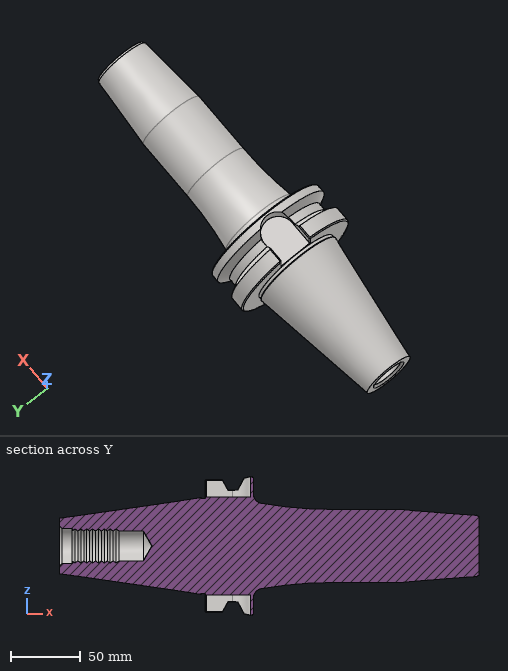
import cadquery as cq
import math

total_length = 301.8
gauge_x = 101.7
flange_start_x = 104.7
flange_end_x = 139.7
neck_start_x = 146.5
cylinder_start_x = 194.7
cylinder_end_x = 244.8

gauge_radius = 35.0
taper_rate = 7 / 24 / 2
taper_small_radius = gauge_radius - taper_rate * gauge_x
relief_radius = 34.5
relief_start_x = gauge_x + 0.5

flange_diameter = 100.0
flange_radius = flange_diameter / 2
flange_chamfer = 1.0
groove_root_radius = 42.3
groove_root_start_x = 121.3
groove_root_end_x = 128.3
groove_wall_angle = 60.0
groove_wall_run = (flange_radius - groove_root_radius) / math.tan(math.radians(groove_wall_angle))

neck_fillet_radius = 6.5
neck_radius = 30.8
cylinder_radius = 26.5
nose_angle = 4.5
nose_chamfer = 1.8
nose_radius = cylinder_radius - (total_length - cylinder_end_x) * math.tan(math.radians(nose_angle))

slot_width = 26.0
slot_floor = 35.3
slot_end_x = 137.3
slot_edge_chamfer = 1.0

mouth_radius = 14.2
bore_radius = 12.5
counterbore_depth = 9.0
thread_minor_radius = 10.5
thread_groove_radius = 12.0
thread_pitch = 4.2
thread_groove_count = 8
bore_depth = 60.5
drill_tip_angle = 120.0


def revolve_about_x(profile):
    """Turn a closed XY profile a full circle about the X axis."""
    return profile.close().revolve(360, (0, 0, 0), (1, 0, 0))


def tangent_arc_middle(start, end):
    """Middle point of an arc from start to end that finishes parallel to X (concave, falling)."""
    run = end[0] - start[0]
    drop = start[1] - end[1]
    radius = (run**2 + drop**2) / (2 * drop)
    half_angle = math.asin(run / radius) / 2
    middle_x = end[0] - radius * math.sin(half_angle)
    middle_y = end[1] + radius * (1 - math.cos(half_angle))
    return middle_x, middle_y


def make_body():
    neck_start = (neck_start_x, neck_radius)
    neck_end = (cylinder_start_x, cylinder_radius)
    fillet_start = (flange_end_x, neck_radius + neck_fillet_radius)
    fillet_middle = tangent_arc_middle(fillet_start, neck_start)
    profile = (
        cq.Workplane("XY")
        .moveTo(0, 0)
        .lineTo(0, taper_small_radius)
        .lineTo(gauge_x, gauge_radius)
        .lineTo(relief_start_x, relief_radius)
        .lineTo(flange_start_x, relief_radius)
        .lineTo(flange_start_x, flange_radius - flange_chamfer)
        .lineTo(flange_start_x + flange_chamfer, flange_radius)
        .lineTo(groove_root_start_x - groove_wall_run, flange_radius)
        .lineTo(groove_root_start_x, groove_root_radius)
        .lineTo(groove_root_end_x, groove_root_radius)
        .lineTo(groove_root_end_x + groove_wall_run, flange_radius)
        .lineTo(flange_end_x - flange_chamfer, flange_radius)
        .lineTo(flange_end_x, flange_radius - flange_chamfer)
        .lineTo(*fillet_start)
        .threePointArc(fillet_middle, neck_start)
        .threePointArc(tangent_arc_middle(neck_start, neck_end), neck_end)
        .lineTo(cylinder_end_x, cylinder_radius)
        .lineTo(total_length - nose_chamfer, nose_radius + nose_chamfer * math.tan(math.radians(nose_angle)))
        .lineTo(total_length, nose_radius - nose_chamfer / 2)
        .lineTo(total_length, 0)
    )
    return revolve_about_x(profile)


def make_drive_slot():
    """Cutter for the +Z slot: open toward the taper, round at the far end, with broken entry edges."""
    half_width = slot_width / 2
    entry_half_width = half_width + slot_edge_chamfer
    round_centre_x = slot_end_x - half_width
    slot = (
        cq.Workplane("XY", origin=(0, 0, slot_floor))
        .moveTo(flange_start_x, -half_width)
        .lineTo(round_centre_x, -half_width)
        .threePointArc((slot_end_x, 0), (round_centre_x, half_width))
        .lineTo(flange_start_x, half_width)
        .close()
        .extrude(flange_radius)
    )
    entry_wedge = (
        cq.Workplane("XY", origin=(flange_start_x, 0, slot_floor))
        .moveTo(0, -entry_half_width)
        .lineTo(slot_edge_chamfer, -half_width)
        .lineTo(slot_edge_chamfer, half_width)
        .lineTo(0, entry_half_width)
        .close()
        .extrude(flange_radius)
    )
    rim_height = math.sqrt(flange_radius**2 - entry_half_width**2)
    wedge_flare = flange_radius - rim_height
    rim_wedge = (
        cq.Workplane("YZ", origin=(flange_start_x, 0, rim_height))
        .moveTo(-half_width, -slot_edge_chamfer)
        .lineTo(half_width, -slot_edge_chamfer)
        .lineTo(entry_half_width + wedge_flare, wedge_flare)
        .lineTo(-entry_half_width - wedge_flare, wedge_flare)
        .close()
        .extrude(groove_root_start_x - flange_start_x)
    )
    return slot.union(entry_wedge).union(rim_wedge)


def make_bore():
    """Cutter for the chamfered counterbore, the threaded hole and its drill tip."""
    tip_depth = thread_minor_radius / math.tan(math.radians(drill_tip_angle / 2))
    mouth_chamfer = mouth_radius - bore_radius
    profile = (
        cq.Workplane("XY")
        .moveTo(0, 0)
        .lineTo(0, mouth_radius)
        .lineTo(mouth_chamfer, bore_radius)
        .lineTo(counterbore_depth, bore_radius)
        .lineTo(counterbore_depth, thread_minor_radius)
    )
    for i in range(thread_groove_count):
        groove_x = counterbore_depth + i * thread_pitch
        profile = (
            profile.lineTo(groove_x + thread_pitch / 2, thread_groove_radius)
            .lineTo(groove_x + thread_pitch, thread_minor_radius)
        )
    profile = profile.lineTo(bore_depth, thread_minor_radius).lineTo(bore_depth + tip_depth, 0)
    return revolve_about_x(profile)


drive_slot = make_drive_slot()
opposite_slot = drive_slot.rotate((0, 0, 0), (1, 0, 0), 180)
result = make_body().cut(drive_slot).cut(opposite_slot).cut(make_bore())